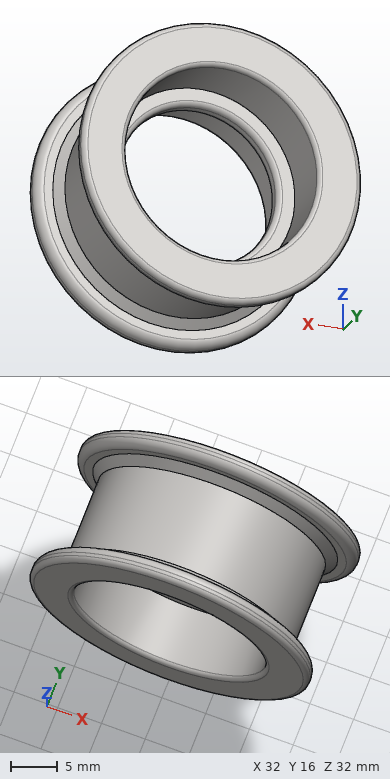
import cadquery as cq
import math

length = 16.0
flange_radius = 16.0
flange_width = 2.0
rim_outer_round = 0.6
rim_inner_round = 1.0
hub_radius = 13.0
cone_size = 1.0

seat_radius = 11.0
seat_depth = 7.0
seat_mouth_round = 0.5
rib_radius = 9.0
rib_edge_round = 0.6

end_y = length / 2
flange_inner_y = end_y - flange_width
cone_end_y = flange_inner_y - cone_size
seat_floor_y = end_y - seat_depth


def add_quarter_round(profile, center, round_radius, start_deg):
    """Line to the start of a quarter arc, then follow it counterclockwise."""
    def on_arc(angle_deg):
        angle = math.radians(angle_deg)
        x = center[0] + round_radius * math.cos(angle)
        y = center[1] + round_radius * math.sin(angle)
        return (x, y)

    profile = profile.lineTo(*on_arc(start_deg))
    return profile.threePointArc(on_arc(start_deg + 45), on_arc(start_deg + 90))


def add_outside(profile):
    """Hub, conical shoulder and rounded flange rim, out to the end face."""
    rim_inner_center = (flange_radius - rim_inner_round, flange_inner_y + rim_inner_round)
    rim_outer_center = (flange_radius - rim_outer_round, end_y - rim_outer_round)

    profile = profile.lineTo(hub_radius, 0)
    profile = profile.lineTo(hub_radius, cone_end_y)
    profile = profile.lineTo(hub_radius + cone_size, flange_inner_y)
    profile = add_quarter_round(profile, rim_inner_center, rim_inner_round, 270)
    return add_quarter_round(profile, rim_outer_center, rim_outer_round, 0)


def add_inside(profile):
    """Rounded seat mouth, seat wall and floor, and rounded rib edge."""
    mouth_center = (seat_radius + seat_mouth_round, end_y - seat_mouth_round)
    rib_edge_center = (rib_radius + rib_edge_round, seat_floor_y - rib_edge_round)

    profile = add_quarter_round(profile, mouth_center, seat_mouth_round, 90)
    profile = profile.lineTo(seat_radius, seat_floor_y)
    return add_quarter_round(profile, rib_edge_center, rib_edge_round, 90)


def make_half():
    """Half of the roller on the +Y side, revolved from its radial section."""
    profile = cq.Workplane("XY").moveTo(rib_radius, 0)
    profile = add_outside(profile)
    profile = add_inside(profile).close()
    return profile.revolve(360, (0, 0, 0), (0, 1, 0))


half = make_half()
result = half.union(half.rotate((0, 0, 0), (1, 0, 0), 180))